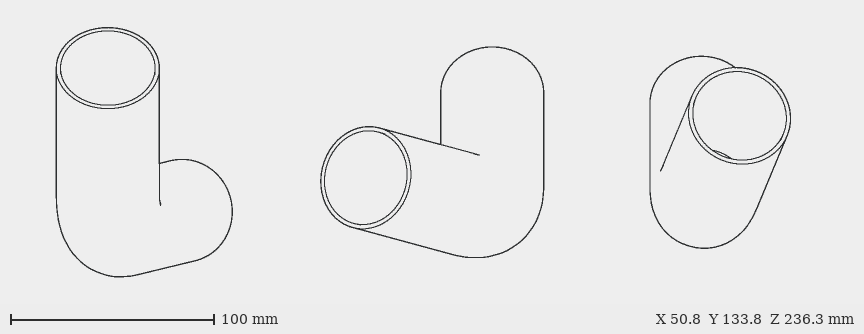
import cadquery as cq
import math

outer_diameter = 50.8
inner_diameter = 46.5
leg_length = 101.4
bend_radius = 64.0
bend_angle = 45

turn = math.radians(bend_angle)


def point_on_bend(angle):
    """Centre-line point after turning by the given angle in radians."""
    return (bend_radius * (1 - math.cos(angle)), -bend_radius * math.sin(angle))


bend_end = point_on_bend(turn)
lower_end = (
    bend_end[0] + leg_length * math.sin(turn),
    bend_end[1] - leg_length * math.cos(turn),
)

centre_line = (
    cq.Workplane("YZ")
    .moveTo(0, leg_length)
    .lineTo(0, 0)
    .threePointArc(point_on_bend(turn / 2), bend_end)
    .lineTo(*lower_end)
)

result = (
    cq.Workplane("XY", origin=(0, 0, leg_length))
    .circle(outer_diameter / 2)
    .circle(inner_diameter / 2)
    .sweep(centre_line)
)